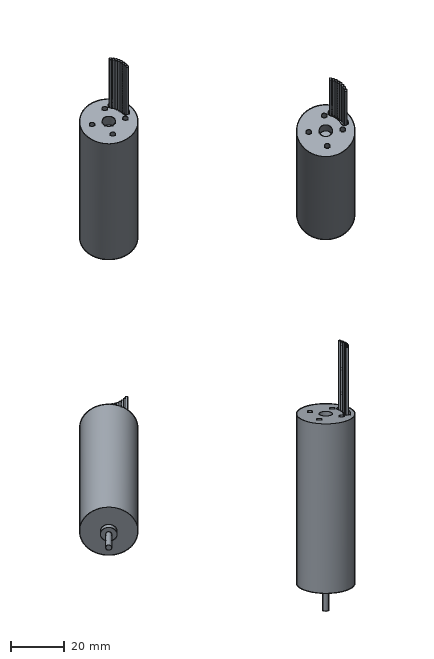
import cadquery as cq
import math

total_length = 105.7
shaft_length = 8.8
boss_height = 2.0
body_length = 68.0

body_diameter = 22.0
boss_diameter = 6.2
shaft_diameter = 2.3

center_hole_diameter = 5.0
center_hole_depth = 5.0
mount_hole_diameter = 2.0
mount_hole_depth = 4.0
mount_hole_offset = 4.5

slot_radius = 7.9
slot_width = 2.9
slot_half_angle = 23.0
slot_depth = 2.0

wire_count = 8
wire_diameter = 1.0
wire_circle_radius = 8.1
wire_pitch = 1.1

body_bottom = shaft_length + boss_height
body_top = body_bottom + body_length
slot_floor = body_top - slot_depth


def cylinder(diameter, bottom, top, x=0, y=0):
    """Upright cylinder between two heights."""
    base = cq.Workplane("XY").workplane(offset=bottom)
    return base.center(x, y).circle(diameter / 2).extrude(top - bottom)


def polar(radius, degrees_from_y):
    """XY point at an angle measured clockwise from +Y."""
    angle = math.radians(degrees_from_y)
    return radius * math.sin(angle), radius * math.cos(angle)


def cable_slot():
    """Arc-shaped slot with rounded ends."""
    outer = slot_radius + slot_width / 2
    inner = slot_radius - slot_width / 2
    cap_x, cap_y = polar(slot_radius, slot_half_angle)
    tangent_x, tangent_y = polar(slot_width / 2, slot_half_angle + 90)
    right_tip = (cap_x + tangent_x, cap_y + tangent_y)
    left_tip = (-right_tip[0], right_tip[1])
    return (
        cq.Workplane("XY").workplane(offset=slot_floor)
        .moveTo(*polar(outer, -slot_half_angle))
        .threePointArc((0, outer), polar(outer, slot_half_angle))
        .threePointArc(right_tip, polar(inner, slot_half_angle))
        .threePointArc((0, inner), polar(inner, -slot_half_angle))
        .threePointArc(left_tip, polar(outer, -slot_half_angle))
        .close()
        .extrude(slot_depth)
    )


result = cylinder(body_diameter, body_bottom, body_top)
result = result.union(cylinder(boss_diameter, shaft_length, body_bottom))
result = result.union(cylinder(shaft_diameter, 0, shaft_length))

result = result.cut(cylinder(center_hole_diameter, body_top - center_hole_depth, body_top))
for side_x in (-1, 1):
    for side_y in (-1, 1):
        result = result.cut(cylinder(
            mount_hole_diameter,
            body_top - mount_hole_depth,
            body_top,
            side_x * mount_hole_offset,
            side_y * mount_hole_offset,
        ))
result = result.cut(cable_slot())

for index in range(wire_count):
    wire_x = (index - (wire_count - 1) / 2) * wire_pitch
    wire_y = math.sqrt(wire_circle_radius**2 - wire_x**2)
    result = result.union(cylinder(wire_diameter, slot_floor, total_length, wire_x, wire_y))